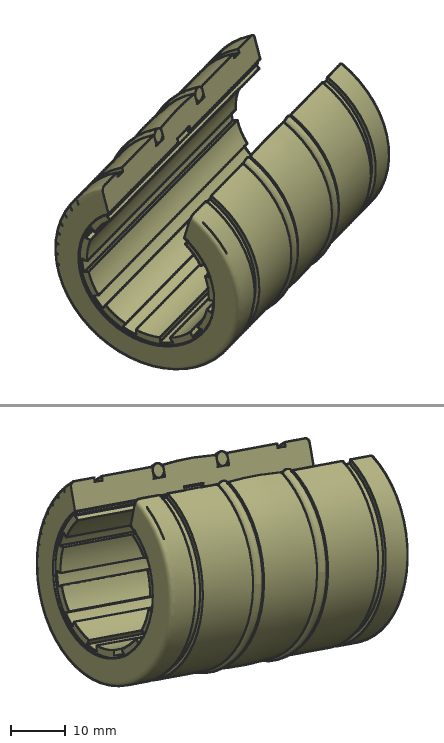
import cadquery as cq
import math


length = 56.95
sleeve_radius = 19.5
crown_radius = 19.75
bore_radius = 14.25
end_fillet = 0.95

slot_half_width = 4.755
slot_side_angle = 15.0
slot_top = 22.8

end_groove_radius = 18.7
end_groove_width = 1.8
end_groove_y = 21.8

ring_outer_radius = 19.95
cord_diameter = 2.6
ring_y = 7.65
ring_centre_radius = ring_outer_radius - cord_diameter / 2
ring_groove_radius = ring_outer_radius - cord_diameter
crown_half_width = ring_y - cord_diameter / 2

liner_recess = 0.55
liner_length = length - 2 * liner_recess
liner_inner_radius = 13.8
liner_gap_half_width = 0.3
liner_end_angle = 35.0
rib_radius = 15.05
rib_width = 4.55

tooth_tip_radius = 12.75
tooth_width = 5.0
tooth_pitch = 360.0 / 11
teeth_each_side = 4


def tube(outer_radius, inner_radius, tube_length):
    """Tube along Y, centred on the origin."""
    return (
        cq.Workplane("XZ")
        .circle(outer_radius)
        .circle(inner_radius)
        .extrude(tube_length / 2, both=True)
    )


def wedge(half_width, side_angle):
    """Prism that opens upwards from the height of the axis, longer than the part."""
    top_half_width = half_width + slot_top * math.tan(math.radians(side_angle))
    corners = [
        (-half_width, 0),
        (-top_half_width, slot_top),
        (top_half_width, slot_top),
        (half_width, 0),
    ]
    return cq.Workplane("XZ").polyline(corners).close().extrude(length, both=True)


def outside_groove(floor_radius, width, y):
    """Cutter for a square groove around the outside of the sleeve."""
    return tube(ring_outer_radius, floor_radius, width).translate((0, y, 0))


def make_crown():
    """Barrel-shaped band that raises the sleeve between the O-ring grooves."""
    return (
        cq.Workplane("XY")
        .moveTo(-ring_groove_radius, -crown_half_width)
        .lineTo(-sleeve_radius, -crown_half_width)
        .threePointArc((-crown_radius, 0), (-sleeve_radius, crown_half_width))
        .lineTo(-ring_groove_radius, crown_half_width)
        .close()
        .revolve(360, (0, 0), (0, 1))
    )


def make_sleeve(slot):
    sleeve = tube(sleeve_radius, bore_radius, length)
    sleeve = sleeve.faces("<Y or >Y").edges(cq.selectors.RadiusNthSelector(-1)).fillet(end_fillet)
    sleeve = sleeve.union(make_crown())
    for side in (-1, 1):
        sleeve = sleeve.cut(outside_groove(end_groove_radius, end_groove_width, side * end_groove_y))
        sleeve = sleeve.cut(outside_groove(ring_groove_radius, cord_diameter, side * ring_y))
    rib_groove = tube(rib_radius, liner_inner_radius, rib_width)
    return sleeve.cut(rib_groove).cut(slot)


def make_tooth(angle):
    """Liner tooth with parallel flanks, turned by an angle from the bottom."""
    root_radius = (bore_radius + liner_inner_radius) / 2
    flanks = (
        cq.Workplane("XY")
        .box(tooth_width, liner_length, root_radius)
        .translate((0, 0, -root_radius))
    )
    blank = tube(root_radius, tooth_tip_radius, liner_length)
    return blank.intersect(flanks).rotate((0, 0, 0), (0, 1, 0), angle)


def make_liner():
    wall = tube(bore_radius, liner_inner_radius, liner_length)
    rib = tube(rib_radius, liner_inner_radius, rib_width)
    liner = wall.union(rib).cut(wedge(liner_gap_half_width, liner_end_angle))
    for step in range(-teeth_each_side, teeth_each_side + 1):
        liner = liner.union(make_tooth(step * tooth_pitch))
    return liner


def make_o_ring(y, slot):
    cord = (
        cq.Workplane("XY")
        .center(-ring_centre_radius, y)
        .circle(cord_diameter / 2)
        .revolve(360, (ring_centre_radius, 0), (ring_centre_radius, 1))
    )
    return cord.cut(slot)


slot = wedge(slot_half_width, slot_side_angle)
sleeve = make_sleeve(slot)
liner = make_liner()
o_rings = []
for y in (-ring_y, ring_y):
    o_rings.append(make_o_ring(y, slot))

result = cq.Compound.makeCompound(
    [sleeve.val(), liner.val(), *[ring.val() for ring in o_rings]]
)